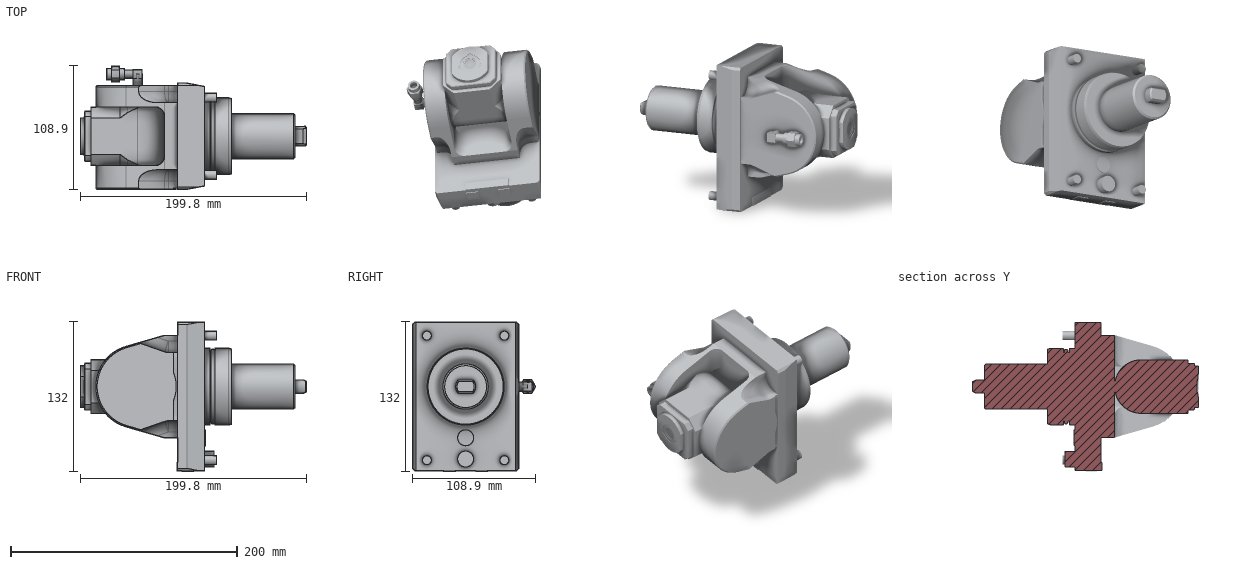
import cadquery as cq
import math


plate_left = -23.7
plate_half_width = 47.0
plate_top = 57.0
plate_bottom = -74.4
plate_corner = 2.2
taper_start = -15.6
taper_depth = 3.0

collar_radius = 34.0
collar_length = 24.0
collar_chamfer_length = 2.6
collar_chamfer_depth = 0.8
groove_start = 4.7
groove_end = 9.4
groove_radius = 30.5
seal_ring_radius = 31.3
seal_section_radius = 1.9
shank_radius = 20.0
shank_end = 80.0
shank_chamfer = 1.5
tang_end = 90.2
tang_radius = 8.8
tang_half_thickness = 6.0
tang_chamfer = 1.2
tang_taper_length = 3.1
tang_tip_half_thickness = 4.5

pivot_x = -59.0
cheek_radius = 37.0
cheek_back_y = 44.8
cheek_front_y = -plate_half_width
cheek_chamfer = 1.2
yoke_shoulder_x = -35.4
yoke_half_height = 45.3
yoke_half_width = 29.6
slot_half_width = 25.7
slot_corner_radius = 8.0
slot_relief_radius = 31.2
slot_relief_depth = 7.0
embed = 3.0

scoop_start_x = -58.0
scoop_start_z = 38.7
scoop_bend_end_x = -31.8
scoop_bend_radius = 10.3
scoop_floor_z = 30.1
scoop_radius = 10.0

step_start_x = -27.2
step_depth = 1.1
step_boss_radius = 34.0

head_left = -100.4
head_half_height = 23.9
head_chamfer = 9.6
chamfer_taper_start = -74.5
chamfer_taper_middle = -68.0
chamfer_taper_end = -58.0
head_chamfer_middle = 4.8
chamfer_end_size = 0.1
nut_left = -106.0
nut_half_width = 22.2
nut_half_height = 20.7
nut_corner = 5.0
nut_edge = 0.6
nose_left = -109.56
nose_radius = 18.5
nose_half_flat = 16.1
nose_seat_radius = 17.0
nose_seat_length = 0.25

socket_radius = 9.0
socket_depth = 0.5
socket_lobe_radius = 2.4
socket_lobe_offset = 8.3
socket_lobe_angles = (90, -23, 203)
bore_radius = 6.4
bore_depth = 0.9
inner_bore_radius = 5.0
inner_bore_depth = 1.3

pin_radius = 3.95
pin_length = 10.6
pin_spacing_y = 34.2
pin_top_z = 45.0
pin_bottom_z = -65.0
bushing_radius = 7.05
bushing_length = 8.5
bushing_z = -64.0
seal_disc_z = -45.2
seal_disc_length = 0.7

clip_half_width = 19.5
clip_top = -67.0
clip_proud = 0.8
clip_depth = 4.0
tab_left = -20.0
tab_right = -9.8
tab_bottom = -75.0
tab_inner_y = 9.0

coolant_y = 54.8
post_radius = 4.2
elbow_size = 8.0
tube_radius = 3.7
sleeve_left = -86.5
sleeve_right = -70.7
sleeve_radius = 5.1
hex_left = -82.1
hex_right = -75.1
hex_corner_diameter = 14.14
outlet_radius = 3.3
outlet_depth = 5.0


def box(x0, x1, y0, y1, z0, z1):
    """Block between two opposite corners."""
    return cq.Workplane("XY").box(x1 - x0, y1 - y0, z1 - z0, centered=False).translate((x0, y0, z0))


def x_cylinder(x0, x1, radius, y=0.0, z=0.0):
    """Cylinder along X."""
    return cq.Workplane("YZ", origin=(x0, y, z)).circle(radius).extrude(x1 - x0)


def y_cylinder(y0, y1, radius, x, z=0.0):
    """Cylinder along Y."""
    return cq.Workplane("XZ", origin=(x, y0, z)).circle(radius).extrude(y0 - y1)


def make_plate():
    plate = box(plate_left, 0, -plate_half_width, plate_half_width, plate_bottom, plate_top)
    plate = plate.edges("|X").chamfer(plate_corner)
    taper = (
        cq.Workplane("XY", origin=(0, 0, plate_bottom))
        .moveTo(taper_start, plate_half_width)
        .lineTo(0, plate_half_width)
        .lineTo(0, plate_half_width - taper_depth)
        .close()
        .extrude(plate_top - plate_bottom)
    )
    return plate.cut(taper).cut(taper.mirror("XZ"))


def make_shank():
    collar_profile = (
        cq.Workplane("XY")
        .moveTo(-embed, 0)
        .lineTo(-embed, collar_radius)
        .lineTo(groove_start, collar_radius)
        .lineTo(groove_start, groove_radius)
        .lineTo(groove_end, groove_radius)
        .lineTo(groove_end, collar_radius)
        .lineTo(collar_length - collar_chamfer_length, collar_radius)
        .lineTo(collar_length, collar_radius - collar_chamfer_depth)
        .lineTo(collar_length, shank_radius)
        .lineTo(shank_end - shank_chamfer, shank_radius)
        .lineTo(shank_end, shank_radius - shank_chamfer)
        .lineTo(shank_end, 0)
        .close()
    )
    shank = collar_profile.revolve(360, (0, 0, 0), (1, 0, 0))
    seal_x = groove_end - seal_section_radius
    seal = (
        cq.Workplane("XY", origin=(seal_x, seal_ring_radius, 0))
        .circle(seal_section_radius)
        .revolve(360, (0, -seal_ring_radius, 0), (1, -seal_ring_radius, 0))
    )
    tang = x_cylinder(shank_end - embed, tang_end, tang_radius).faces(">X").chamfer(tang_chamfer)
    flats = (
        cq.Workplane("XZ", origin=(0, tang_radius, 0))
        .moveTo(shank_end - embed, tang_half_thickness)
        .lineTo(tang_end - tang_taper_length, tang_half_thickness)
        .lineTo(tang_end, tang_tip_half_thickness)
        .lineTo(tang_end, -tang_tip_half_thickness)
        .lineTo(tang_end - tang_taper_length, -tang_half_thickness)
        .lineTo(shank_end - embed, -tang_half_thickness)
        .close()
        .extrude(2 * tang_radius)
    )
    return shank.union(seal).union(tang.intersect(flats))


def make_scoop():
    """Cutter for the upper back scoop: a sloped floor that bends level towards the plate."""
    top = yoke_half_height + 2 * scoop_radius
    bend_z = scoop_floor_z + scoop_bend_radius
    start_dx = scoop_bend_end_x - scoop_start_x
    start_dz = bend_z - scoop_start_z
    start_distance = math.hypot(start_dx, start_dz)
    slope_angle = math.asin(scoop_bend_radius / start_distance) - math.atan2(start_dz, start_dx)
    tangent_x = scoop_bend_end_x - scoop_bend_radius * math.sin(slope_angle)
    tangent_z = bend_z - scoop_bend_radius * math.cos(slope_angle)
    middle_x = scoop_bend_end_x - scoop_bend_radius * math.sin(slope_angle / 2)
    middle_z = bend_z - scoop_bend_radius * math.cos(slope_angle / 2)
    floor_rise_x = tangent_x - (top - tangent_z) / math.tan(slope_angle)
    cutter = (
        cq.Workplane("XZ", origin=(0, yoke_half_width, 0))
        .moveTo(floor_rise_x, top)
        .lineTo(tangent_x, tangent_z)
        .threePointArc((middle_x, middle_z), (scoop_bend_end_x, scoop_floor_z))
        .lineTo(plate_left, scoop_floor_z)
        .lineTo(plate_left, top)
        .close()
        .extrude(-plate_half_width)
    )
    return cutter.faces("<Y").edges("not(>X or >Z)").fillet(scoop_radius)


def make_yoke():
    shoulder_dx = yoke_shoulder_x - pivot_x
    shoulder_distance = math.hypot(shoulder_dx, yoke_half_height)
    shoulder_angle = math.atan2(yoke_half_height, shoulder_dx)
    tangent_angle = shoulder_angle + math.acos(cheek_radius / shoulder_distance)
    tangent_x = pivot_x + cheek_radius * math.cos(tangent_angle)
    tangent_z = cheek_radius * math.sin(tangent_angle)
    yoke_end = plate_left + embed

    yoke = (
        cq.Workplane("XZ", origin=(0, cheek_front_y, 0))
        .moveTo(tangent_x, tangent_z)
        .lineTo(yoke_shoulder_x, yoke_half_height)
        .lineTo(yoke_end, yoke_half_height)
        .lineTo(yoke_end, -yoke_half_height)
        .lineTo(yoke_shoulder_x, -yoke_half_height)
        .lineTo(tangent_x, -tangent_z)
        .threePointArc((pivot_x - cheek_radius, 0), (tangent_x, tangent_z))
        .close()
        .extrude(cheek_front_y - cheek_back_y)
    )
    yoke = yoke.faces("<Y or >Y").chamfer(cheek_chamfer)

    slot_left = pivot_x - 2 * cheek_radius
    slot = box(
        slot_left, yoke_shoulder_x, -slot_half_width, slot_half_width, -yoke_half_height, yoke_half_height
    )
    relief_left = yoke_shoulder_x - slot_relief_depth
    relief = x_cylinder(relief_left, yoke_shoulder_x, slot_relief_radius).intersect(slot)
    yoke = yoke.cut(slot.edges("|Z and >X").fillet(slot_corner_radius)).cut(relief)

    scoop = make_scoop()
    upper_scoops = scoop.union(scoop.mirror("XZ"))
    yoke = yoke.cut(upper_scoops).cut(upper_scoops.mirror("XY"))

    step_y = cheek_front_y + step_depth
    step = box(step_start_x, plate_left, cheek_front_y, step_y, -yoke_half_height, yoke_half_height)
    return yoke.cut(step.cut(y_cylinder(cheek_front_y, step_y, step_boss_radius, pivot_x)))


def chamfer_triangle(x, size):
    """Closed wire around the upper back corner of the head at the given X."""
    y = slot_half_width
    z = head_half_height
    corner = [cq.Vector(x, y, z), cq.Vector(x, y - size, z), cq.Vector(x, y, z - size)]
    return cq.Wire.makePolygon(corner, close=True)


def make_head_chamfer():
    """Cutter for the upper back corner of the head, running out in two steps near the pivot."""
    sections = [
        chamfer_triangle(head_left, head_chamfer),
        chamfer_triangle(chamfer_taper_start, head_chamfer),
        chamfer_triangle(chamfer_taper_middle, head_chamfer_middle),
        chamfer_triangle(chamfer_taper_end, chamfer_end_size),
    ]
    return cq.Workplane(cq.Solid.makeLoft(sections, True))


def make_head():
    head = box(
        head_left, pivot_x, -slot_half_width, slot_half_width, -head_half_height, head_half_height
    )
    head = head.union(y_cylinder(-slot_half_width, slot_half_width, head_half_height, pivot_x))
    chamfer = make_head_chamfer()
    upper_chamfers = chamfer.union(chamfer.mirror("XZ"))
    head = head.cut(upper_chamfers).cut(upper_chamfers.mirror("XY"))

    nut = box(nut_left, head_left, -nut_half_width, nut_half_width, -nut_half_height, nut_half_height)
    nut = nut.edges("|X").chamfer(nut_corner).faces("<X").chamfer(nut_edge)
    nose = x_cylinder(nose_left, nut_left, nose_radius).intersect(
        box(nose_left, nut_left, -nose_half_flat, nose_half_flat, -nose_radius, nose_radius)
    )
    seat = x_cylinder(nut_left - nose_seat_length, nut_left, nose_seat_radius)
    head = head.union(nut).union(nose).union(seat)
    return head.cut(make_socket())


def make_socket():
    """Cutter for the lobed collet socket and the stepped bore behind it."""
    socket = x_cylinder(nose_left, nose_left + socket_depth, socket_radius)
    for angle in socket_lobe_angles:
        lobe_y = -socket_lobe_offset * math.cos(math.radians(angle))
        lobe_z = socket_lobe_offset * math.sin(math.radians(angle))
        lobe = x_cylinder(nose_left, nose_left + socket_depth, socket_lobe_radius, lobe_y, lobe_z)
        socket = socket.union(lobe)
    socket = socket.union(x_cylinder(nose_left, nose_left + bore_depth, bore_radius))
    return socket.union(x_cylinder(nose_left, nose_left + inner_bore_depth, inner_bore_radius))


def make_mounting_fittings():
    fittings = x_cylinder(-embed, bushing_length, bushing_radius, z=bushing_z)
    fittings = fittings.union(x_cylinder(-embed, seal_disc_length, bushing_radius, z=seal_disc_z))
    for y in (-pin_spacing_y, pin_spacing_y):
        for z in (pin_top_z, pin_bottom_z):
            fittings = fittings.union(x_cylinder(-embed, pin_length, pin_radius, y, z))
    return fittings


def make_clip():
    clip_left = plate_left - clip_proud
    clip = box(
        clip_left, plate_left + clip_depth, -clip_half_width, clip_half_width, plate_bottom, clip_top
    )
    tab = box(tab_left, tab_right, tab_inner_y, clip_half_width, tab_bottom, clip_top)
    return clip.union(tab).union(tab.mirror("XZ"))


def make_coolant_fitting():
    post = y_cylinder(cheek_back_y - embed, coolant_y, post_radius, pivot_x)
    half = elbow_size / 2
    elbow = box(pivot_x - half, pivot_x + half, coolant_y - half, coolant_y + half, -half, half)
    tube = x_cylinder(sleeve_left, pivot_x, tube_radius, coolant_y)
    sleeve = x_cylinder(sleeve_left, sleeve_right, sleeve_radius, coolant_y)
    hexagon = (
        cq.Workplane("YZ", origin=(hex_left, coolant_y, 0))
        .polygon(6, hex_corner_diameter)
        .extrude(hex_right - hex_left)
    )
    fitting = post.union(elbow).union(tube).union(sleeve).union(hexagon)
    return fitting.cut(x_cylinder(sleeve_left, sleeve_left + outlet_depth, outlet_radius, coolant_y))


result = (
    make_plate()
    .union(make_shank())
    .union(make_yoke())
    .union(make_head())
    .union(make_mounting_fittings())
    .union(make_clip())
    .union(make_coolant_fitting())
)